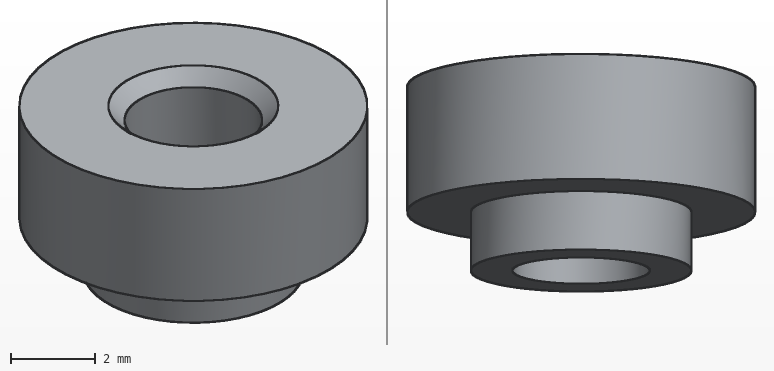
import cadquery as cq

head_diameter = 8.2
head_height = 3.0
total_height = 4.4
spigot_diameter = 5.2
bore_diameter = 3.24
countersink_diameter = 4.0

spigot_height = total_height - head_height
countersink_depth = (countersink_diameter - bore_diameter) / 2

spigot = cq.Workplane("XY").circle(spigot_diameter / 2).extrude(spigot_height)
head = (
    cq.Workplane("XY")
    .workplane(offset=spigot_height)
    .circle(head_diameter / 2)
    .extrude(head_height)
)
body = spigot.union(head)

result = (
    body.faces(">Z")
    .workplane(origin=(0, 0, total_height))
    .hole(bore_diameter)
    .faces(">Z")
    .edges("%CIRCLE")
    .edges(cq.selectors.RadiusNthSelector(0))
    .chamfer(countersink_depth)
)